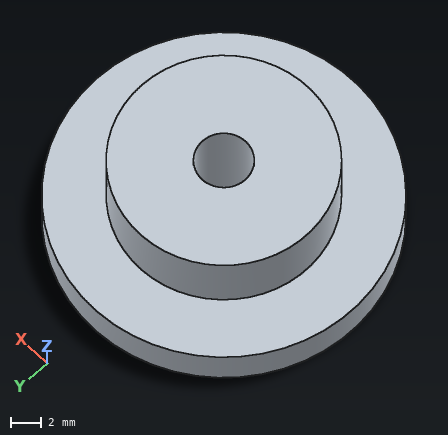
import cadquery as cq

flange_diameter = 24.0
total_height = 8.0

flange_thickness = 3.0
boss_diameter = 15.5
boss_height = total_height - flange_thickness
bore_diameter = 4.0

flange = cq.Workplane("XY").circle(flange_diameter / 2).extrude(flange_thickness)

flanged_boss = flange.faces(">Z").workplane().circle(boss_diameter / 2).extrude(boss_height)

result = flanged_boss.faces(">Z").workplane().hole(bore_diameter)